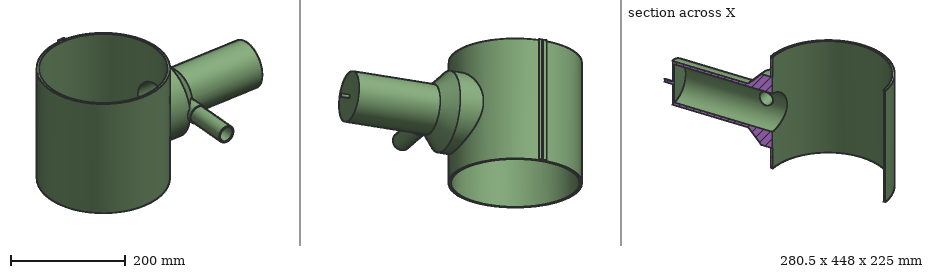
import cadquery as cq

overall_length = 448.0

tube_height = 225.0
tube_radius = 116.5
tube_wall = 4.5
tube_inner_radius = tube_radius - tube_wall

flange_tip_x = -121.0
flange_tip_width = 14.5
flange_root_width = 10.8
flange_gap = 2.2
gap_depth_in_wall = 2.2

collar_radius = 72.0
collar_end_y = 135.5
cone_end_y = 162.0
pipe_radius = 45.0
pipe_end_y = 315.5
branch_bore_radius = 38.0
end_wall = 4.5
pin_radius = 3.0
pin_end_y = overall_length - tube_radius

side_pipe_y = 147.5
side_pipe_radius = 16.0
side_pipe_end_x = 159.5
side_bore_radius = 13.5
sleeve_radius = 17.5
sleeve_end_x = 79.5


def upright_cylinder(radius):
    return cq.Workplane("XY").circle(radius).extrude(tube_height / 2, both=True)


def cylinder_along_y(radius, end_y):
    return cq.Workplane("XZ").circle(radius).extrude(-end_y)


def cylinder_along_x(radius, end_x):
    return cq.Workplane("YZ").center(side_pipe_y, 0).circle(radius).extrude(end_x)


def flange_pair():
    """Full-height strips that widen towards their tips, and the narrow groove between them."""
    root_x = -tube_radius + gap_depth_in_wall
    block = (
        cq.Workplane("XY")
        .moveTo(root_x, -flange_root_width / 2)
        .lineTo(root_x, flange_root_width / 2)
        .lineTo(flange_tip_x, flange_tip_width / 2)
        .lineTo(flange_tip_x, -flange_tip_width / 2)
        .close()
        .extrude(tube_height / 2, both=True)
    )
    groove = (
        cq.Workplane("XY")
        .center((root_x + flange_tip_x) / 2, 0)
        .rect(root_x - flange_tip_x, flange_gap)
        .extrude(tube_height / 2, both=True)
    )
    return block, groove


def branch_body():
    """Collar, reducing cone and pipe as one revolved profile about Y."""
    return (
        cq.Workplane("XY")
        .moveTo(0, 0)
        .lineTo(collar_radius, 0)
        .lineTo(collar_radius, collar_end_y)
        .lineTo(pipe_radius, cone_end_y)
        .lineTo(pipe_radius, pipe_end_y)
        .lineTo(0, pipe_end_y)
        .close()
        .revolve(360, (0, 0, 0), (0, 1, 0))
    )


flange_block, flange_groove = flange_pair()

outside = (
    upright_cylinder(tube_radius)
    .union(branch_body())
    .union(cylinder_along_y(pin_radius, pin_end_y))
    .union(cylinder_along_x(sleeve_radius, sleeve_end_x))
    .union(cylinder_along_x(side_pipe_radius, side_pipe_end_x))
    .union(flange_block)
)

result = (
    outside
    .cut(upright_cylinder(tube_inner_radius))
    .cut(cylinder_along_y(branch_bore_radius, pipe_end_y - end_wall))
    .cut(cylinder_along_x(side_bore_radius, side_pipe_end_x))
    .cut(flange_groove)
)